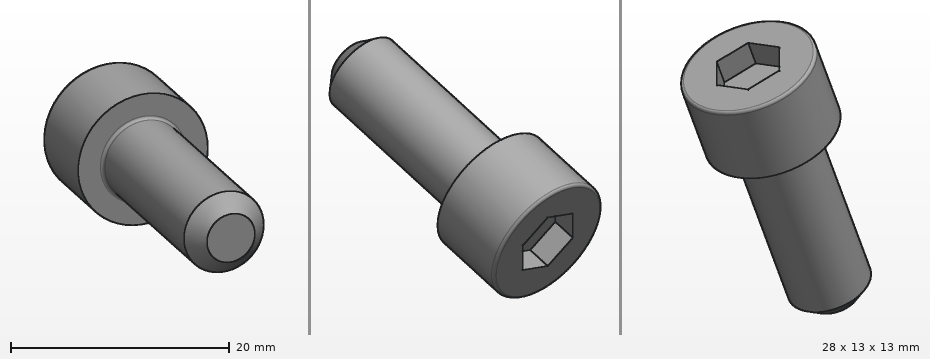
import cadquery as cq
import math

head_diameter = 13.0
head_length = 8.0
head_edge_radius = 0.3
shank_diameter = 8.0
shank_length = 20.0
under_head_radius = 0.3
tip_length = 1.6
tip_diameter = shank_diameter - 2 * tip_length
hex_sides = 6
hex_across_flats = 6.0
hex_depth = 2.5


def screw_body():
    """Revolved head, underhead fillet, shank and conical tip."""
    head_radius = head_diameter / 2
    shank_radius = shank_diameter / 2
    total_length = head_length + shank_length
    arc_reach = math.cos(math.radians(45))
    edge_inset = head_edge_radius * (1 - arc_reach)
    root_inset = under_head_radius * (1 - arc_reach)
    profile = (
        cq.Workplane("XY")
        .moveTo(0, 0)
        .lineTo(0, head_radius - head_edge_radius)
        .threePointArc(
            (edge_inset, head_radius - edge_inset),
            (head_edge_radius, head_radius),
        )
        .lineTo(head_length, head_radius)
        .lineTo(head_length, shank_radius + under_head_radius)
        .threePointArc(
            (head_length + root_inset, shank_radius + root_inset),
            (head_length + under_head_radius, shank_radius),
        )
        .lineTo(total_length - tip_length, shank_radius)
        .lineTo(total_length, tip_diameter / 2)
        .lineTo(total_length, 0)
        .close()
    )
    return profile.revolve(360, (0, 0, 0), (1, 0, 0))


def hex_socket():
    """Flat-bottomed hexagon cutter with two corners on the Z axis."""
    quarter_turn = 90
    across_corners = hex_across_flats / math.cos(math.pi / hex_sides)
    return (
        cq.Workplane("YZ")
        .transformed(rotate=(0, 0, quarter_turn))
        .polygon(hex_sides, across_corners)
        .extrude(hex_depth)
    )


result = screw_body().cut(hex_socket())